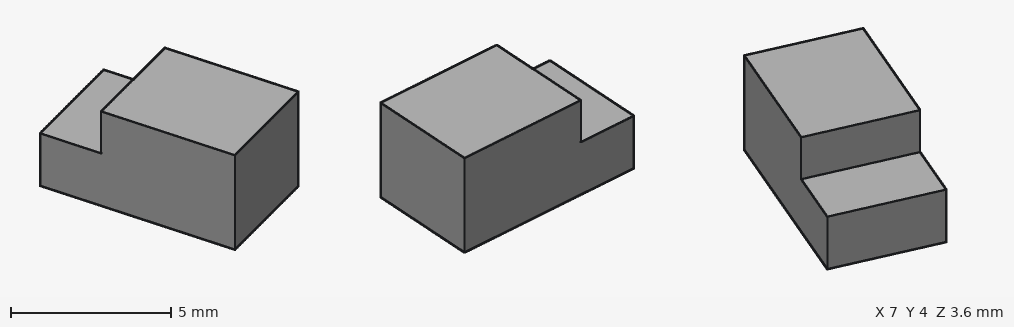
import cadquery as cq

length = 7.0
width = 4.0
height = 3.6

step_length = 2.2
step_height = 2.0

result = (
    cq.Workplane("XZ")
    .moveTo(0, 0)
    .lineTo(length, 0)
    .lineTo(length, height)
    .lineTo(step_length, height)
    .lineTo(step_length, step_height)
    .lineTo(0, step_height)
    .close()
    .extrude(width / 2, both=True)
)